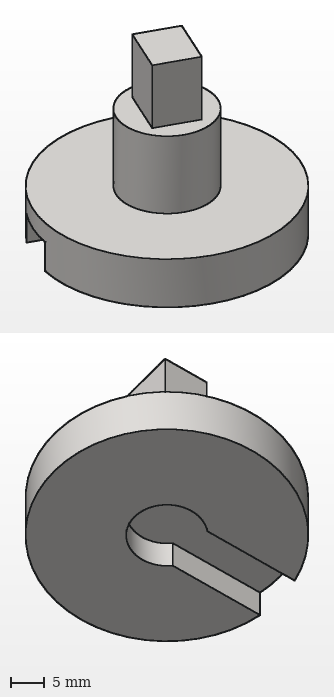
import cadquery as cq

flange_diameter = 41.65
flange_height = 8.35

shaft_diameter = 15.85
shaft_height = 13.35

tang_width = 9.3
tang_depth = 7.7
tang_height = 10.85

recess_diameter = 12.0
slot_width = 8.45
recess_height = 5.0


def make_body():
    """Flange, shaft and tang stacked along the Z axis."""
    return (
        cq.Workplane("XY")
        .circle(flange_diameter / 2)
        .extrude(flange_height)
        .faces(">Z").workplane()
        .circle(shaft_diameter / 2)
        .extrude(shaft_height)
        .faces(">Z").workplane()
        .rect(tang_width, tang_depth)
        .extrude(tang_height)
    )


def make_recess():
    """Central round recess joined to a straight slot that runs out past the -Y rim."""
    slot_length = flange_diameter / 2
    pocket = cq.Workplane("XY").circle(recess_diameter / 2).extrude(recess_height)
    slot = (
        cq.Workplane("XY")
        .center(0, -slot_length / 2)
        .rect(slot_width, slot_length)
        .extrude(recess_height)
    )
    return pocket.union(slot)


result = make_body().cut(make_recess())